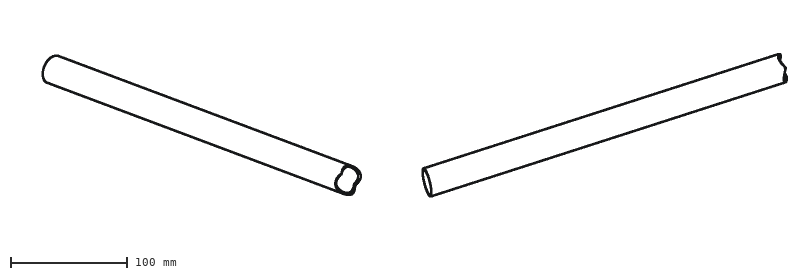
import math

import cadquery as cq

tube_radius = 12.5
wall = 1.5
corner_x = 341.5
corner_y = 27.25
axis_length = math.hypot(corner_x, corner_y)
axis_angle = math.degrees(math.atan2(corner_y, corner_x))

frame_radius = 15.0
frame_leg = 60.0

overrun = 20.0


def bar(radius):
    """Round bar along the tube axis, from before the near end to the frame corner."""
    straight = cq.Workplane("YZ", origin=(-overrun, 0, 0)).circle(radius).extrude(overrun + axis_length)
    return straight.rotate((0, 0, 0), (0, 0, 1), axis_angle)


def near_end_trim():
    """Block that squares the near end off at the YZ plane."""
    size = 4 * tube_radius
    return cq.Workplane("YZ").rect(size, size).extrude(-2 * overrun)


def frame_corner():
    """Two round legs at right angles, mitred together at the end of the tube axis."""
    leg_path = (
        cq.Workplane("YZ", origin=(corner_x, 0, 0))
        .moveTo(corner_y, frame_leg)
        .lineTo(corner_y, 0)
        .lineTo(corner_y - frame_leg, 0)
    )
    section = cq.Workplane("XY", origin=(corner_x, corner_y, frame_leg)).circle(frame_radius)
    return section.sweep(leg_path, transition="right")


result = bar(tube_radius).cut(bar(tube_radius - wall))
result = result.cut(near_end_trim())
result = result.cut(frame_corner())